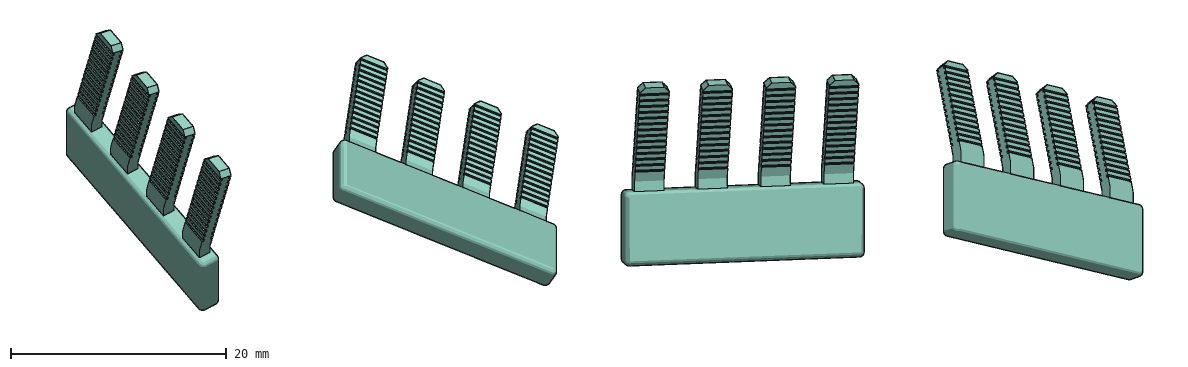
import cadquery as cq
import math

total_width = 22.8
total_height = 17.5

base_depth = 2.2
base_height = 7.0
base_radius = 0.5

finger_count = 4
finger_pitch = 6.0
finger_width = 2.8
finger_thickness = base_depth - 2 * base_radius
lean = math.radians(15)
blade_length = 9.55
tip_chamfer = 0.5

groove_count = 14
groove_width = 0.2
groove_depth = groove_width
groove_pitch = 3 * groove_width
first_groove_offset = groove_pitch

inner_bend_radius = 0.2
outer_bend_radius = inner_bend_radius + finger_thickness
bend_y = finger_thickness / 2 + inner_bend_radius
bend_z = total_height - blade_length * math.cos(lean) - outer_bend_radius * math.sin(lean)


def bend_point(radius, angle):
    """(Y, Z) on a bend arc; angle 0 is where the arc leaves the upright stem."""
    return (bend_y - radius * math.cos(angle), bend_z + radius * math.sin(angle))


def blade_point(radius, below_tip):
    """(Y, Z) on the blade: radius picks the depth line, below_tip runs down from the tip."""
    y, z = bend_point(radius, lean)
    along = blade_length - below_tip
    return (y + along * math.sin(lean), z + along * math.cos(lean))


def grooved_edge(face_radius, floor_radius):
    """Blade edge points from the tip down to the last groove."""
    points = [blade_point(face_radius, 0)]
    for i in range(groove_count):
        upper = first_groove_offset + i * groove_pitch
        lower = upper + groove_width
        points.append(blade_point(face_radius, upper))
        points.append(blade_point(floor_radius, upper))
        points.append(blade_point(floor_radius, lower))
        points.append(blade_point(face_radius, lower))
    return points


def make_base():
    base = cq.Workplane("XY").box(total_width, base_depth, base_height, centered=(True, True, False))
    return base.edges().fillet(base_radius)


def make_finger():
    """One finger centred on X = 0, its foot sunk into the base."""
    front = grooved_edge(outer_bend_radius, outer_bend_radius - groove_depth)
    back = grooved_edge(inner_bend_radius, inner_bend_radius + groove_depth)
    foot_z = base_height - base_radius

    profile = (
        cq.Workplane("YZ")
        .moveTo(-finger_thickness / 2, foot_z)
        .lineTo(*bend_point(outer_bend_radius, 0))
        .threePointArc(bend_point(outer_bend_radius, lean / 2), bend_point(outer_bend_radius, lean))
    )
    for point in front[::-1] + back:
        profile = profile.lineTo(*point)
    profile = (
        profile.lineTo(*bend_point(inner_bend_radius, lean))
        .threePointArc(bend_point(inner_bend_radius, lean / 2), bend_point(inner_bend_radius, 0))
        .lineTo(finger_thickness / 2, foot_z)
        .close()
    )
    finger = profile.extrude(finger_width / 2, both=True)

    return finger.faces(">Z").edges("not |X").chamfer(tip_chamfer)


result = make_base()
finger = make_finger()
for i in range(finger_count):
    x = (i - (finger_count - 1) / 2) * finger_pitch
    result = result.union(finger.translate((x, 0, 0)))